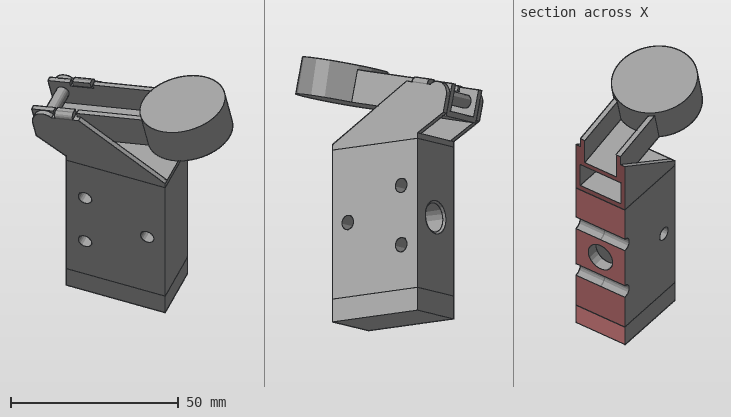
import cadquery as cq
import math

block_length = 31.8
block_width = 18.0
plate_height = 6.9
block_top = 52.1
mount_hole_diameter = 4.3
mount_hole_inset = 6.1
mount_hole_spacing_x = 19.95
mount_hole_spacing_z = 18.0
port_height = 29.5
port_diameter = 8.7
port_mouth_diameter = 10.1
port_depth = 9.9

sheet = 1.65
lever_tilt = 13.0
lever_corner_x = -11.7
lever_corner_z = 67.7
lever_depth = 9.9
lever_width = block_width - 2 * sheet
pin_diameter = 4.0
ear_radius = 3.95
ear_inset = 0.1
pin_inset = ear_inset + ear_radius
ear_heel_depth = 9.1
ear_top_depth = 1.3
ear_top_end = 15.8
notch_start = 7.2
notch_end = 14.75
tab_start = 8.0
tab_end = 13.85
tab_reach = 1.4
knob_diameter = 26.0
knob_offset = 47.0
knob_rise = 1.3
knob_height = knob_rise + lever_depth

lever_plane = cq.Plane(
    origin=(lever_corner_x, 0, lever_corner_z),
    xDir=(math.cos(math.radians(lever_tilt)), 0, math.sin(math.radians(lever_tilt))),
    normal=(0, -1, 0),
)


def lever_point(along, above):
    """World position of a point given in the mid-plane of the tilted lever."""
    return lever_plane.toWorldCoords((along, above, 0))


def lever_box(start, end, bottom, top, width):
    """Box centred on Y and aligned with the lever."""
    return (
        cq.Workplane(lever_plane)
        .center((start + end) / 2, (bottom + top) / 2)
        .rect(end - start, top - bottom)
        .extrude(width / 2, both=True)
    )


def make_base_plate():
    return cq.Workplane("XY").box(block_length, block_width, plate_height, centered=(False, True, False))


def make_valve_block():
    block = (
        cq.Workplane("XY", origin=(0, 0, plate_height))
        .box(block_length, block_width, block_top - plate_height, centered=(False, True, False))
    )
    mount_holes = (
        cq.Workplane("XZ")
        .pushPoints([
            (mount_hole_inset, port_height - mount_hole_spacing_z / 2),
            (mount_hole_inset, port_height + mount_hole_spacing_z / 2),
            (mount_hole_inset + mount_hole_spacing_x, port_height),
        ])
        .circle(mount_hole_diameter / 2)
        .extrude(block_width, both=True)
    )
    mouth_radius = port_mouth_diameter / 2
    bore_radius = port_diameter / 2
    port = (
        cq.Workplane("XY")
        .polyline([
            (0, 0),
            (0, mouth_radius),
            (mouth_radius - bore_radius, bore_radius),
            (port_depth, bore_radius),
            (port_depth, 0),
        ])
        .close()
        .revolve(360, (0, 0), (1, 0))
        .translate((0, 0, port_height))
    )
    return block.cut(mount_holes).cut(port)


def make_bracket():
    """U bracket: a floor on the block and two ears reaching up to the lever."""
    floor_top = block_top + sheet
    heel = lever_point(ear_inset, -ear_heel_depth)
    round_start = lever_point(ear_inset, -pin_inset)
    arc_angle = math.radians(135)
    round_middle = lever_point(
        ear_radius * math.cos(arc_angle) + pin_inset, ear_radius * math.sin(arc_angle) - pin_inset
    )
    arc_height = pin_inset - ear_top_depth
    arc_run = math.sqrt(ear_radius**2 - arc_height**2)
    round_end = lever_point(pin_inset + arc_run, -ear_top_depth)
    top_end = lever_point(ear_top_end, -ear_top_depth)
    outline = (
        cq.Workplane("XZ")
        .moveTo(0, block_top)
        .lineTo(0, floor_top)
        .lineTo(heel.x, heel.z)
        .lineTo(round_start.x, round_start.z)
        .threePointArc((round_middle.x, round_middle.z), (round_end.x, round_end.z))
        .lineTo(top_end.x, top_end.z)
        .lineTo(block_length, floor_top)
        .lineTo(block_length, block_top)
        .close()
        .extrude(block_width / 2, both=True)
    )
    space_length = 2 * (block_length - lever_corner_x)
    space = (
        cq.Workplane("XY", origin=(0, 0, floor_top))
        .box(space_length, lever_width, lever_corner_z, centered=(True, True, False))
    )
    return outline.cut(space)


def make_tab(side):
    """Tab bent from an ear over the lever wall; side is +1 or -1 along Y."""
    bend_y = side * lever_width / 2
    tip_y = bend_y - side * tab_reach
    bend_middle = sheet * math.sqrt(0.5)
    start = lever_point(tab_start, -ear_top_depth)
    tab_plane = cq.Plane(origin=start.toTuple(), xDir=(0, 1, 0), normal=lever_plane.xDir.toTuple())
    return (
        cq.Workplane(tab_plane)
        .moveTo(tip_y, 0)
        .lineTo(bend_y + side * sheet, 0)
        .threePointArc((bend_y + side * bend_middle, bend_middle), (bend_y, sheet))
        .lineTo(tip_y, sheet)
        .close()
        .extrude(tab_end - tab_start)
    )


def make_lever():
    """Channel open at the top, notched where the bracket tabs fold over its walls."""
    channel = lever_box(0, knob_offset, -lever_depth, 0, lever_width)
    inside = lever_box(0, knob_offset, sheet - lever_depth, 0, lever_width - 2 * sheet)
    notch = lever_box(notch_start, notch_end, -ear_top_depth, 0, lever_width)
    return channel.cut(inside).cut(notch)


def make_knob():
    top_centre = lever_point(knob_offset, knob_rise)
    knob_plane = cq.Plane(origin=top_centre.toTuple(), xDir=(0, 1, 0), normal=lever_plane.yDir.toTuple())
    return cq.Workplane(knob_plane).circle(knob_diameter / 2).extrude(-knob_height)


def make_pin():
    return (
        cq.Workplane(lever_plane)
        .center(pin_inset, -pin_inset)
        .circle(pin_diameter / 2)
        .extrude(lever_width / 2, both=True)
    )


def make_actuator():
    actuator = make_bracket().union(make_lever()).union(make_knob()).union(make_pin())
    for side in (-1, 1):
        actuator = actuator.union(make_tab(side))
    return actuator


base_plate = make_base_plate()
valve_block = make_valve_block()
actuator = make_actuator()

result = cq.Compound.makeCompound([base_plate.val(), valve_block.val(), actuator.val()])